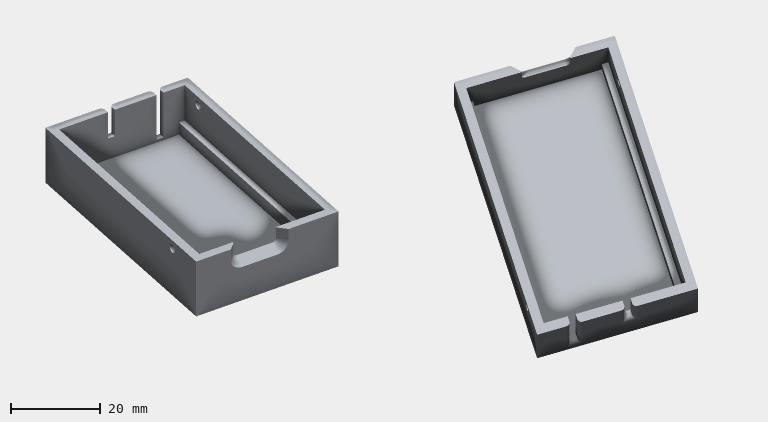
import cadquery as cq

length = 62.9
width = 37.4
height = 14.7
wall = 2.2
floor_thickness = 2.0

ledge_width = 1.5
ledge_height = 3.3

slot_width = 1.8
slot_rounding = 1.0
cable_slots = [(10.0, 2.75), (-2.75, 7.7)]
edge_search_margin = 0.05

notch_y = -2.0
notch_width = 11.25
notch_bottom = 10.9
notch_corner_radius = 0.95
notch_flare = 1.95

pin_diameter = 2.0
pin_z = 12.45
front_pin_x = 21.5
back_pin_x = -23.7

inner_length = length - 2 * wall
inner_width = width - 2 * wall


def block(x_size, y_size, z_size, x, y, z):
    """Box centred at x, y with its underside at z."""
    return cq.Workplane("XY").box(x_size, y_size, z_size, centered=(True, True, False)).translate((x, y, z))


def tray():
    """Open box with a full-length ledge beside each long wall."""
    body = block(length, width, height, 0, 0, 0)
    body = body.cut(block(inner_length, inner_width, height, 0, 0, floor_thickness))
    for side in (-1, 1):
        ledge_y = side * (inner_width - ledge_width) / 2
        body = body.union(block(inner_length, ledge_width, ledge_height, 0, ledge_y, floor_thickness))
    return body


def cut_cable_slot(body, y, bottom):
    """Slot through the -X wall, open at the top, with its outer edges rounded."""
    wall_x = (wall - length) / 2
    body = body.cut(block(wall, slot_width, height, wall_x, y, bottom))
    reach = slot_width / 2 + edge_search_margin
    outer_edges = cq.selectors.BoxSelector(
        (-length / 2 - reach, y - reach, bottom - reach),
        (-length / 2 + reach, y + reach, height),
    )
    return body.faces("<X").edges(outer_edges).fillet(slot_rounding)


def notch_section(x, offset):
    """Closed U outline at x, enlarged by offset on its sides and bottom."""
    half = notch_width / 2 + offset
    bottom = notch_bottom - offset
    radius = notch_corner_radius + offset
    plane = cq.Plane(origin=(x, notch_y, 0), xDir=(0, 1, 0), normal=(1, 0, 0))
    return (
        cq.Workplane(plane)
        .moveTo(-half, height)
        .lineTo(-half, bottom + radius)
        .radiusArc((-half + radius, bottom), -radius)
        .lineTo(half - radius, bottom)
        .radiusArc((half, bottom + radius), -radius)
        .lineTo(half, height)
        .close()
    )


def notch_cutter():
    """Straight notch through the +X wall, flaring at 45 degrees to the outer face."""
    outer_x = length / 2
    straight = notch_section(outer_x - wall, 0).extrude(wall)
    narrow = notch_section(outer_x - notch_flare, 0).wire().val()
    wide = notch_section(outer_x, notch_flare).wire().val()
    flare = cq.Solid.makeLoft([narrow, wide], True)
    return straight.union(cq.Workplane(flare))


def pin_hole(x, side):
    """Hole along Y through the long wall on the given side."""
    centre = cq.Vector(x, side * width / 2, pin_z)
    inward = cq.Vector(0, -side, 0)
    return cq.Workplane(cq.Solid.makeCylinder(pin_diameter / 2, wall, centre, inward))


result = tray()
for slot_y, slot_bottom in cable_slots:
    result = cut_cable_slot(result, slot_y, slot_bottom)
result = result.cut(notch_cutter())
result = result.cut(pin_hole(front_pin_x, -1))
result = result.cut(pin_hole(back_pin_x, 1))